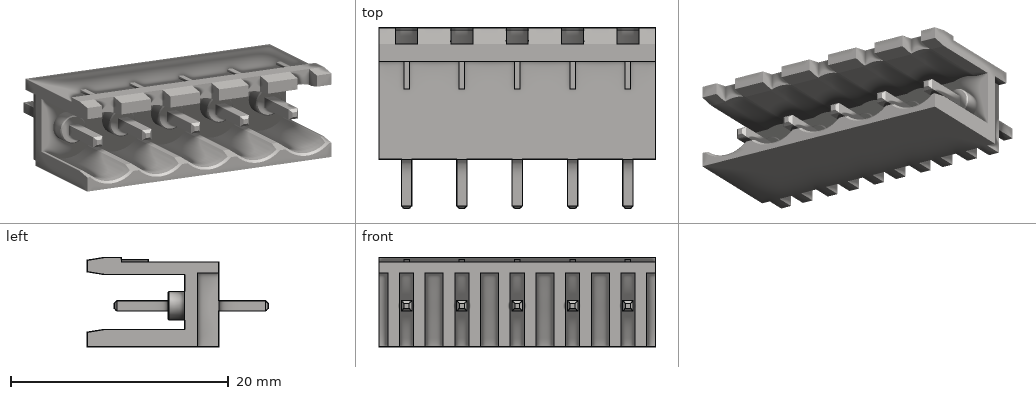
import cadquery as cq


POLES = 5
PITCH = 5.08
LENGTH = POLES * PITCH
POLE_X = [(i - (POLES - 1) / 2) * PITCH for i in range(POLES)]
GAP_X = [(i - POLES / 2) * PITCH for i in range(POLES + 1)]

MOUTH_Y = 12.1
FLOOR_Y = 3.15
LOWER_WALL = 1.6
POCKET_TOP = 6.63
ROOF_Z = 7.8
RIDGE_Z = 8.2
RIDGE_BACK_Y = 8.97
TAPER_LENGTH = 1.52
TAPER_RISE = 0.25
TAPER_Y = MOUTH_Y - TAPER_LENGTH

NOTCH_WIDTH = 2.0
GROOVE_RADIUS = 3.1
GROOVE_CHAMFER = 0.2

COMB_DEPTH = 1.95
COMB_TOP = 6.75
PIN_SLOT_WIDTH = 1.3
GAP_SLOT_WIDTH = 1.65

MARKER_WIDTH = 0.5
MARKER_TOP = 8.03
MARKER_LENGTH = 2.5
MARKER_BACK_Y = RIDGE_BACK_Y - MARKER_LENGTH

PIN_Z = 3.75
PIN_SIZE = 0.97
PIN_TIP_Y = 9.63
PIN_TAIL_Y = -4.52
PIN_BEVEL = 0.25
COLLAR_RADIUS = 1.32
COLLAR_LENGTH = 1.52
COLLAR_CHAMFER = 0.1


def block(x_center, width, y_min, y_max, z_min, z_max):
    """Box centred on x_center in X and spanning the given Y and Z ranges."""
    return (
        cq.Workplane("XY")
        .box(width, y_max - y_min, z_max - z_min, centered=(True, False, False))
        .translate((x_center, y_min, z_min))
    )


def round_bar(x_center, radius, y_min, y_max):
    """Cylinder along Y on the axis of a pin."""
    return (
        cq.Workplane("XZ", origin=(x_center, y_min, PIN_Z))
        .circle(radius)
        .extrude(-(y_max - y_min))
    )


def make_shroud():
    """C-shaped profile with tapered lips, extruded along the row."""
    profile = [
        (0, 0),
        (MOUTH_Y, 0),
        (MOUTH_Y, LOWER_WALL - TAPER_RISE),
        (TAPER_Y, LOWER_WALL),
        (FLOOR_Y, LOWER_WALL),
        (FLOOR_Y, POCKET_TOP),
        (TAPER_Y, POCKET_TOP),
        (MOUTH_Y, POCKET_TOP + TAPER_RISE),
        (MOUTH_Y, RIDGE_Z - TAPER_RISE),
        (TAPER_Y, RIDGE_Z),
        (RIDGE_BACK_Y, RIDGE_Z),
        (RIDGE_BACK_Y, ROOF_Z),
        (0, ROOF_Z),
    ]
    return cq.Workplane("YZ").polyline(profile).close().extrude(LENGTH / 2, both=True)


def make_groove(x_center):
    """Round plug clearance, chamfered outwards at the mouth."""
    bore = round_bar(x_center, GROOVE_RADIUS, FLOOR_Y, MOUTH_Y)
    flare = (
        cq.Workplane("XZ", origin=(x_center, MOUTH_Y, PIN_Z))
        .circle(GROOVE_RADIUS + GROOVE_CHAMFER)
        .workplane(offset=GROOVE_CHAMFER)
        .circle(GROOVE_RADIUS)
        .loft()
    )
    return bore.union(flare)


def make_pin(x_center):
    """Square pin with both ends bevelled, running through its collar."""
    half = PIN_SIZE / 2
    pin = block(x_center, PIN_SIZE, PIN_TAIL_Y, PIN_TIP_Y, PIN_Z - half, PIN_Z + half)
    pin = pin.faces("<Y or >Y").chamfer(PIN_BEVEL)
    collar = round_bar(x_center, COLLAR_RADIUS, FLOOR_Y, FLOOR_Y + COLLAR_LENGTH)
    collar = collar.faces(">Y").chamfer(COLLAR_CHAMFER)
    return pin.union(collar)


result = make_shroud()

for x in GAP_X:
    result = result.cut(block(x, GAP_SLOT_WIDTH, 0, COMB_DEPTH, 0, COMB_TOP))
for x in POLE_X:
    result = result.cut(block(x, PIN_SLOT_WIDTH, 0, COMB_DEPTH, 0, COMB_TOP))

for x in POLE_X:
    result = result.cut(make_groove(x))
    result = result.cut(block(x, NOTCH_WIDTH, TAPER_Y, MOUTH_Y, POCKET_TOP, RIDGE_Z))

for x in POLE_X:
    result = result.union(block(x, MARKER_WIDTH, MARKER_BACK_Y, RIDGE_BACK_Y, ROOF_Z, MARKER_TOP))
    result = result.union(make_pin(x))